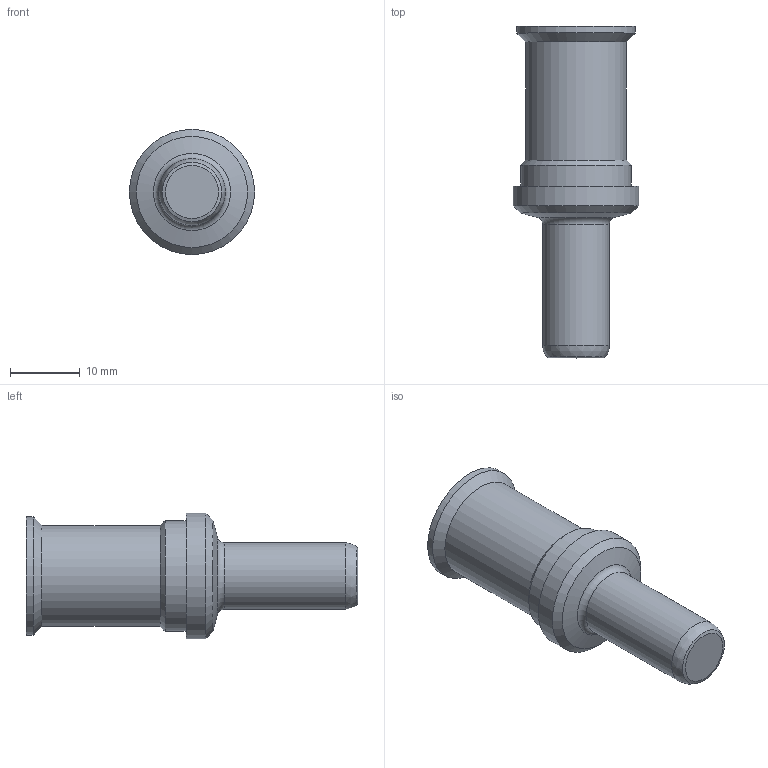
import cadquery as cq
import math


flange_radius = 8.5
flange_rim_length = 1.0

body_radius = 7.25
collar_chamfer_start = 19.3

collar_radius = 7.95

shoulder_radius = 9.0
shoulder_start = 23.0
shoulder_rim_end = 25.85
shoulder_chamfer = 1.0
cone_slope = math.radians(15)

shank_radius = 4.8
fillet_radius = 1.0

total_length = 47.7
rounding_start = 45.9
bevel_outer_radius = 4.25
bevel_inner_radius = 3.8
bevel_length = 0.15

flange_chamfer_end = flange_rim_length + flange_radius - body_radius
collar_start = collar_chamfer_start + collar_radius - body_radius
cone_start = shoulder_rim_end + shoulder_chamfer
cone_outer_radius = shoulder_radius - shoulder_chamfer
bevel_start = total_length - bevel_length

fillet_sweep = math.pi / 2 - cone_slope
cone_inner_radius = shank_radius + fillet_radius * (1 - math.cos(fillet_sweep))
cone_end = cone_start + (cone_outer_radius - cone_inner_radius) * math.tan(cone_slope)
fillet_end = cone_end + fillet_radius * math.sin(fillet_sweep)

rounding_sweep = 2 * math.atan((shank_radius - bevel_outer_radius) / (bevel_start - rounding_start))
rounding_radius = (bevel_start - rounding_start) / math.sin(rounding_sweep)


def fillet_point(angle):
    """Point on the shank fillet, turned by angle from its end on the shank."""
    rise = fillet_radius * (1 - math.cos(angle))
    setback = fillet_radius * math.sin(angle)
    return (shank_radius + rise, -(fillet_end - setback))


def rounding_point(angle):
    """Point on the tip rounding, turned by angle from its start on the shank."""
    drop = rounding_radius * (1 - math.cos(angle))
    advance = rounding_radius * math.sin(angle)
    return (shank_radius - drop, -(rounding_start + advance))


def turned_profile():
    """Half outline of the part: X is the radius, Y the position along the axis."""
    return (
        cq.Workplane("XY")
        .lineTo(flange_radius, 0)
        .lineTo(flange_radius, -flange_rim_length)
        .lineTo(body_radius, -flange_chamfer_end)
        .lineTo(body_radius, -collar_chamfer_start)
        .lineTo(collar_radius, -collar_start)
        .lineTo(collar_radius, -shoulder_start)
        .lineTo(shoulder_radius, -shoulder_start)
        .lineTo(shoulder_radius, -shoulder_rim_end)
        .lineTo(cone_outer_radius, -cone_start)
        .lineTo(cone_inner_radius, -cone_end)
        .threePointArc(fillet_point(fillet_sweep / 2), fillet_point(0))
        .lineTo(shank_radius, -rounding_start)
        .threePointArc(rounding_point(rounding_sweep / 2), rounding_point(rounding_sweep))
        .lineTo(bevel_inner_radius, -total_length)
        .lineTo(0, -total_length)
        .close()
    )


result = turned_profile().revolve(360, (0, 0, 0), (0, 1, 0))